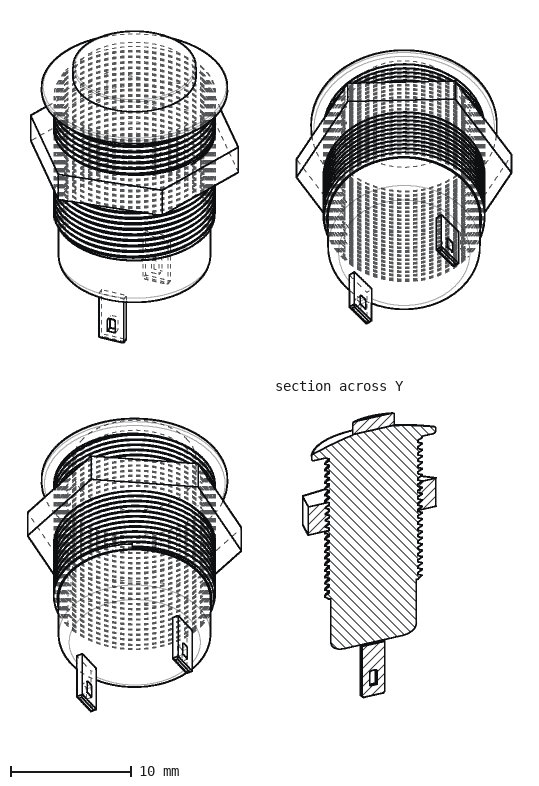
import cadquery as cq
import math

button_top = 24.65
button_radius = 5.1
button_edge_round = 0.12

bezel_top = 23.5
bezel_radius = 7.72
bezel_bottom = 21.97
bezel_cone_bottom = 22.56
bezel_top_round = 0.17
bezel_bottom_round = 0.22

thread_crest_radius = 6.7
thread_root_radius = 6.4
thread_end = 9.4
thread_depth = thread_crest_radius - thread_root_radius

barrel_radius = 6.31
barrel_bottom = 4.7
barrel_bottom_round = 0.86

groove_start = 9.62
groove_start_angle = -150.0
groove_end = 22.27
groove_turns = 22.7
groove_pitch = (groove_end - groove_start) / groove_turns
groove_root_half_width = 0.07
thread_angle = 60.0
flank_slope = math.tan(math.radians(thread_angle / 2))
cut_clearance = 0.02

nut_bottom = 15.49
nut_thickness = 2.55
nut_corner_radius = 8.93
nut_angle = 7.8

terminal_top = 4.59
terminal_width = 2.25
terminal_thickness = 0.55
terminal_offset = 4.65
terminal_tip_chamfer = 0.15
slot_width = 0.7
slot_bottom = 0.94
slot_height = 1.28
slot_top_round = 0.17


def make_button():
    """Flat round button resting on the top face of the bezel."""
    return (
        cq.Workplane("XY", origin=(0, 0, bezel_top))
        .circle(button_radius)
        .extrude(button_top - bezel_top)
        .faces(">Z")
        .edges()
        .fillet(button_edge_round)
    )


def make_thread_groove():
    """Helical cutter for one continuous V groove."""
    opening_radius = thread_crest_radius + cut_clearance
    opening_half_width = groove_root_half_width + (opening_radius - thread_root_radius) * flank_slope
    path = cq.Wire.makeHelix(groove_pitch, groove_pitch * groove_turns, thread_root_radius)
    groove = (
        cq.Workplane("XZ")
        .polyline([
            (thread_root_radius, -groove_root_half_width),
            (opening_radius, -opening_half_width),
            (opening_radius, opening_half_width),
            (thread_root_radius, groove_root_half_width),
        ])
        .close()
        .sweep(path, isFrenet=True)
    )
    return groove.rotate((0, 0, 0), (0, 0, 1), groove_start_angle).translate((0, 0, groove_start))


def make_threaded_barrel():
    """Grooved cylinder with a chamfered lower end; its upper end lies inside the bezel."""
    blank = (
        cq.Workplane("XY", origin=(0, 0, thread_end))
        .circle(thread_crest_radius)
        .extrude(bezel_cone_bottom - thread_end)
        .faces("<Z")
        .chamfer(thread_depth)
    )
    return blank.cut(make_thread_groove())


def make_bezel():
    """Cone above a short cylindrical rim, both rim edges rounded."""
    bezel = (
        cq.Workplane("XZ")
        .polyline([
            (0, bezel_bottom),
            (bezel_radius, bezel_bottom),
            (bezel_radius, bezel_cone_bottom),
            (button_radius, bezel_top),
            (0, bezel_top),
        ])
        .close()
        .revolve(360, (0, 0, 0), (0, 1, 0))
    )
    bezel = bezel.edges("%CIRCLE and >>Z[-3]").fillet(bezel_top_round)
    return bezel.faces("<Z").edges().fillet(bezel_bottom_round)


def make_lower_barrel():
    """Plain cylinder below the thread with a rounded bottom edge."""
    return (
        cq.Workplane("XY", origin=(0, 0, barrel_bottom))
        .circle(barrel_radius)
        .extrude(thread_end - barrel_bottom)
        .faces("<Z")
        .edges()
        .fillet(barrel_bottom_round)
    )


def make_housing():
    """Lower barrel, threaded barrel and bezel joined into one solid."""
    return make_lower_barrel().union(make_threaded_barrel()).union(make_bezel())


def make_nut(housing):
    """Hexagonal nut whose bore is the exact counterpart of the housing thread."""
    nut = (
        cq.Workplane("XY", origin=(0, 0, nut_bottom))
        .transformed(rotate=(0, 0, nut_angle))
        .polygon(6, 2 * nut_corner_radius)
        .extrude(nut_thickness)
    )
    return nut.cut(housing)


def make_terminal(y_center):
    """Flat solder lug with a slotted eye and a chamfered tip."""
    blade = (
        cq.Workplane("XY", origin=(0, y_center, 0))
        .rect(terminal_width, terminal_thickness)
        .extrude(terminal_top)
        .faces("<Z")
        .chamfer(terminal_tip_chamfer)
    )
    slot = (
        cq.Workplane("XY", origin=(0, y_center, slot_bottom))
        .rect(slot_width, terminal_thickness)
        .extrude(slot_height)
        .edges("|Y and >Z")
        .fillet(slot_top_round)
    )
    return blade.cut(slot)


button = make_button()
housing = make_housing()
nut = make_nut(housing)
terminals = [make_terminal(side * terminal_offset) for side in (-1, 1)]

result = cq.Compound.makeCompound(
    [*button.solids().vals(), *housing.solids().vals(), *nut.solids().vals()]
    + [terminal.solids().val() for terminal in terminals]
)